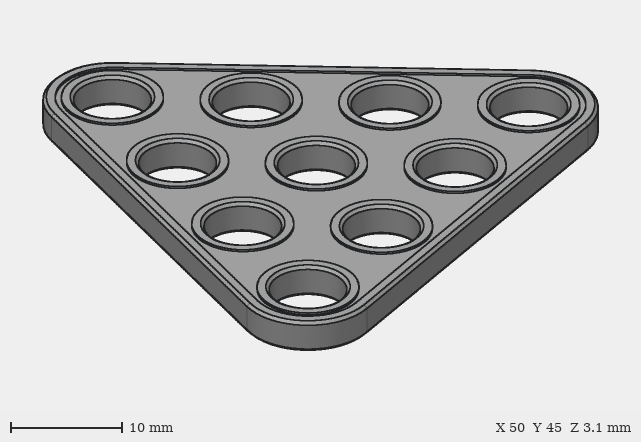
import cadquery as cq
import math

pitch = 12.5
row_count = 4
thickness = 3.1
corner_radius = pitch / 2
hole_diameter = 7.0
collar_diameter = 9.2
rim_width = 1.1
recess_depth = 0.2
edge_chamfer = 0.3
hole_chamfer = 0.3

row_spacing = pitch * math.sqrt(3) / 2
side_length = (row_count - 1) * pitch
triangle_height = (row_count - 1) * row_spacing
recess_floor = thickness - recess_depth

hole_centres = [
    ((column - (row_count - row - 1) / 2) * pitch, row * row_spacing)
    for row in range(row_count)
    for column in range(row_count - row)
]


def rounded_triangle(radius, base_height, height):
    """Triangular prism with arc corners centred on the three corner holes."""
    corners = [(-side_length / 2, 0), (side_length / 2, 0), (0, triangle_height)]
    outline = cq.Workplane("XY", origin=(0, 0, base_height)).polyline(corners).close()
    return outline.offset2D(radius, "arc").extrude(height)


def cylinders(diameter, base_height, height):
    """One cylinder at every hole centre."""
    plane = cq.Workplane("XY", origin=(0, 0, base_height))
    return plane.pushPoints(hole_centres).circle(diameter / 2).extrude(height)


def countersinks():
    """Cones that chamfer the top and bottom edges of every hole."""
    mouth_radius = hole_diameter / 2 + hole_chamfer
    cones = cq.Workplane("XY")
    for base_height, direction in ((0, 1), (thickness, -1)):
        cone = cq.Solid.makeCone(
            mouth_radius, hole_diameter / 2, hole_chamfer, dir=cq.Vector(0, 0, direction)
        )
        for x, y in hole_centres:
            cones.add(cone.translate(cq.Vector(x, y, base_height)))
    return cones.combine()


plate = rounded_triangle(corner_radius, 0, thickness).faces("<Z or >Z").chamfer(edge_chamfer)

recess = rounded_triangle(corner_radius - rim_width, recess_floor, recess_depth)
recess = recess.cut(cylinders(collar_diameter, recess_floor, recess_depth))
plate = plate.cut(recess)

result = plate.cut(cylinders(hole_diameter, 0, thickness)).cut(countersinks())